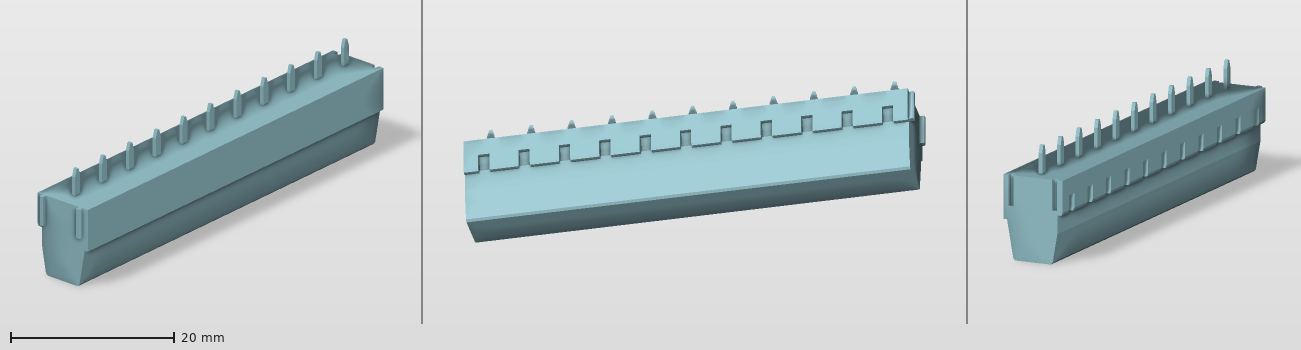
import cadquery as cq
import math

pole_count = 11
pitch = 5.08
housing_length = pole_count * pitch
housing_width = 8.1
housing_height = 10.71
half_width = housing_width / 2
half_length = housing_length / 2

left_step_depth = 4.43
left_step_width = 0.7
left_taper_depth = 6.8
right_step_depth = 5.62
right_step_width = 0.5
taper_angle = 10
bottom_chamfer = 0.27
skirt_chamfer_height = 0.36
skirt_chamfer_width = 0.15

left_wall_x = -half_width + left_step_width
right_wall_x = half_width - right_step_width
skirt_chamfer_depth = left_step_depth - skirt_chamfer_height
bottom_chamfer_depth = housing_height - bottom_chamfer
taper_slope = math.tan(math.radians(taper_angle))
left_taper_end_x = left_wall_x + taper_slope * (bottom_chamfer_depth - left_taper_depth)
right_taper_end_x = right_wall_x - taper_slope * (bottom_chamfer_depth - right_step_depth)

pin_height = 3.6
pin_thickness = 0.5
pin_width = 0.95
pin_tip_width = 0.35
pin_taper_height = 1.0

pocket_width = 1.42
pocket_top_depth = 2.2
pocket_slope_depth = 3.22
pocket_ceiling_width = 0.6
pocket_floor_width = 0.95

rib_inner_x = 2.64
rib_width = 0.69
rib_protrusion = 0.6
rib_height = 3.92
rib_undercut_width = 0.17
rib_undercut_length = 0.2
rib_chamfer_length = 0.15


def make_housing():
    outline = [
        (-half_width, 0),
        (half_width, 0),
        (half_width, -right_step_depth),
        (right_wall_x, -right_step_depth),
        (right_taper_end_x, -bottom_chamfer_depth),
        (right_taper_end_x - bottom_chamfer, -housing_height),
        (left_taper_end_x + bottom_chamfer, -housing_height),
        (left_taper_end_x, -bottom_chamfer_depth),
        (left_wall_x, -left_taper_depth),
        (left_wall_x, -left_step_depth),
        (-half_width + skirt_chamfer_width, -left_step_depth),
        (-half_width, -skirt_chamfer_depth),
    ]
    profile = cq.Workplane("XZ", origin=(0, half_length, 0)).polyline(outline).close()
    return profile.extrude(housing_length)


def make_pocket(pole_y):
    """Recess with a sloping roof that ends in a low ledge and opens through the skirt edge."""
    floor_x = -half_width + pocket_floor_width
    outline = [
        (-half_width, -pocket_top_depth),
        (-half_width + pocket_ceiling_width, -pocket_top_depth),
        (floor_x, -pocket_slope_depth),
        (floor_x, -skirt_chamfer_depth),
        (left_wall_x, -skirt_chamfer_depth),
        (left_wall_x, -left_step_depth),
        (-half_width, -left_step_depth),
    ]
    profile = cq.Workplane("XZ", origin=(0, pole_y + pocket_width / 2, 0)).polyline(outline).close()
    return profile.extrude(pocket_width)


def make_pin(pole_y):
    half_pin = pin_width / 2
    half_tip = pin_tip_width / 2
    shoulder_z = pin_height - pin_taper_height
    outline = [
        (pole_y - half_pin, 0),
        (pole_y + half_pin, 0),
        (pole_y + half_pin, shoulder_z),
        (pole_y + half_tip, pin_height),
        (pole_y - half_tip, pin_height),
        (pole_y - half_pin, shoulder_z),
    ]
    profile = cq.Workplane("YZ", origin=(-pin_thickness / 2, 0, 0)).polyline(outline).close()
    return profile.extrude(pin_thickness)


def make_rib(side):
    """Rib whose outer flank is undercut at the root and chamfered at the tip."""
    outer_x = rib_inner_x + rib_width
    root_x = outer_x - rib_undercut_width
    outline = [
        (side * rib_inner_x, 0),
        (side * root_x, 0),
        (side * root_x, -rib_undercut_length),
        (side * outer_x, -rib_undercut_length),
        (side * outer_x, -rib_protrusion + rib_chamfer_length),
        (side * root_x, -rib_protrusion),
        (side * rib_inner_x, -rib_protrusion),
    ]
    profile = cq.Workplane("XY", origin=(0, -half_length, 0)).polyline(outline).close()
    return profile.extrude(-rib_height)


def make_groove(side):
    center_x = side * (rib_inner_x + rib_width / 2)
    center_y = half_length - rib_protrusion / 2
    profile = cq.Workplane("XY", origin=(center_x, center_y, 0)).rect(rib_width, rib_protrusion)
    return profile.extrude(-rib_height)


result = make_housing()
for pole in range(pole_count):
    pole_y = (pole + 0.5) * pitch - half_length
    result = result.cut(make_pocket(pole_y))
    result = result.union(make_pin(pole_y))
for side in (-1, 1):
    result = result.union(make_rib(side))
    result = result.cut(make_groove(side))